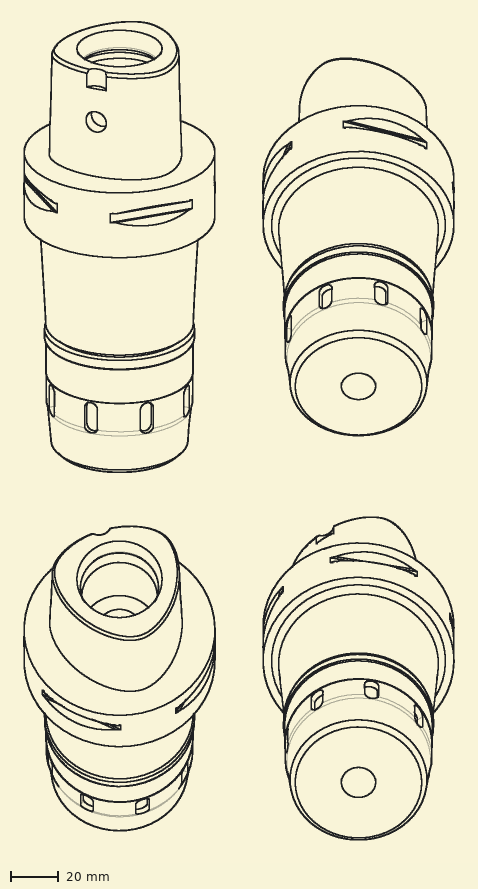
import cadquery as cq
import math

TOTAL_LENGTH = 184.0
SHANK_LENGTH = 48.0
FLANGE_HEIGHT = 30.0
FLANGE_TOP = TOTAL_LENGTH - SHANK_LENGTH
FLANGE_BOTTOM = FLANGE_TOP - FLANGE_HEIGHT

SHANK_BASE_RADIUS = 27.8
SHANK_LOBE = 1.8
SHANK_SLOPE = 1 / 40
SHANK_CHAMFER = 1.0
SHANK_CHAMFER_HEIGHT = 1.7
OUTLINE_POINTS = 48

FLANGE_DIAMETER = 80.0
FLANGE_RADIUS = FLANGE_DIAMETER / 2
NECK_CHAMFER_RADIUS = 36.5
NECK_RADIUS = 33.5
NECK_CHAMFER_HEIGHT = 2.5
NECK_END_RADIUS = 31.0
NECK_END_Z = 56.5
RELIEF_RADIUS = 28.2
RELIEF_HEIGHT = 2.2
COLLAR_RADIUS = 31.5
COLLAR_HEIGHT = 4.0

NUT_RADIUS = 31.0
NUT_STEP_Z = 34.0
GRIP_RADIUS = 30.7
GRIP_END_Z = 21.0
NOSE_RADIUS = 30.2
NOSE_Z = 18.8
TIP_RADIUS = 28.7
TIP_CHAMFER = 2.2

GROOVE_COUNT = 4
GROOVE_FIRST_ANGLE = 45
GROOVE_Z = 124.2
GROOVE_WIDTH = 4.0
GROOVE_FLOOR = 35.5
VEE_START = 36.5
VEE_WIDTH = 8.6

SLOT_COUNT = 8
SLOT_Z = 26.1
SLOT_LENGTH = 14.2
SLOT_WIDTH = 5.9
SLOT_FLOOR = 28.0

NOTCH_RADIUS = 5.2
NOTCH_DEPTH = 8.0
NOTCH_CENTRE_Y = -27.2
SIDE_HOLE_RADIUS = 4.6
SIDE_HOLE_Z = 161.0
SIDE_HOLE_FLOOR_Y = -19.3

MOUTH_RADIUS = 17.8
LIP_RADIUS = 16.4
LIP_DEPTH = 7.2
LIP_HEIGHT = 1.1
RECESS_RADIUS = 18.8
RECESS_END_DEPTH = 13.5
BORE_RADIUS = 15.8
BORE_FLOOR_Z = FLANGE_TOP
PASSAGE_RADIUS = 9.4
PASSAGE_END_Z = FLANGE_BOTTOM
COOLANT_RADIUS = 7.2


def revolve_profile(points):
    """Turn (radius, height) points around the Z axis."""
    return cq.Workplane("XZ").polyline(points).close().revolve(360, (0, 0), (0, 1))


def polygon_outline(height, mean_radius):
    """Three-lobed outline of constant width with one lobe toward +Y."""
    points = []
    for i in range(OUTLINE_POINTS):
        angle = 2 * math.pi * i / OUTLINE_POINTS
        reach = mean_radius + SHANK_LOBE * math.cos(3 * angle)
        slide = -3 * SHANK_LOBE * math.sin(3 * angle)
        x = reach * math.sin(angle) + slide * math.cos(angle)
        y = reach * math.cos(angle) - slide * math.sin(angle)
        points.append(cq.Vector(x, y, height))
    return cq.Wire.assembleEdges([cq.Edge.makeSpline(points, periodic=True)])


def make_shank():
    chamfer_z = TOTAL_LENGTH - SHANK_CHAMFER_HEIGHT
    base = polygon_outline(FLANGE_TOP, SHANK_BASE_RADIUS)
    top_radius = SHANK_BASE_RADIUS - SHANK_SLOPE * (chamfer_z - FLANGE_TOP)
    shoulder = polygon_outline(chamfer_z, top_radius)
    top = polygon_outline(TOTAL_LENGTH, top_radius - SHANK_CHAMFER)
    taper = cq.Workplane(cq.Solid.makeLoft([base, shoulder], True))
    chamfer = cq.Workplane(cq.Solid.makeLoft([shoulder, top], True))
    return taper.union(chamfer)


def make_body():
    collar_top = NECK_END_Z - RELIEF_HEIGHT
    collar_bottom = collar_top - COLLAR_HEIGHT
    collar_chamfer = COLLAR_RADIUS - NUT_RADIUS
    return revolve_profile([
        (0, 0),
        (TIP_RADIUS - TIP_CHAMFER, 0),
        (TIP_RADIUS, TIP_CHAMFER),
        (NOSE_RADIUS, NOSE_Z),
        (GRIP_RADIUS, GRIP_END_Z),
        (GRIP_RADIUS, NUT_STEP_Z),
        (NUT_RADIUS, NUT_STEP_Z),
        (NUT_RADIUS, collar_bottom - collar_chamfer),
        (COLLAR_RADIUS, collar_bottom),
        (COLLAR_RADIUS, collar_top),
        (RELIEF_RADIUS, collar_top),
        (RELIEF_RADIUS, NECK_END_Z),
        (NECK_END_RADIUS, NECK_END_Z),
        (NECK_RADIUS, FLANGE_BOTTOM - NECK_CHAMFER_HEIGHT),
        (NECK_CHAMFER_RADIUS, FLANGE_BOTTOM),
        (FLANGE_RADIUS, FLANGE_BOTTOM),
        (FLANGE_RADIUS, FLANGE_TOP),
        (0, FLANGE_TOP),
    ])


def make_bore():
    lip_z = TOTAL_LENGTH - LIP_DEPTH
    lip_bottom = lip_z - LIP_HEIGHT
    recess_top = lip_bottom - (RECESS_RADIUS - LIP_RADIUS)
    recess_bottom = TOTAL_LENGTH - RECESS_END_DEPTH
    bore_top = recess_bottom - (RECESS_RADIUS - BORE_RADIUS)
    return revolve_profile([
        (0, 0),
        (COOLANT_RADIUS, 0),
        (COOLANT_RADIUS, PASSAGE_END_Z),
        (PASSAGE_RADIUS, PASSAGE_END_Z),
        (PASSAGE_RADIUS, BORE_FLOOR_Z),
        (BORE_RADIUS, BORE_FLOOR_Z),
        (BORE_RADIUS, bore_top),
        (RECESS_RADIUS, recess_bottom),
        (RECESS_RADIUS, recess_top),
        (LIP_RADIUS, lip_bottom),
        (LIP_RADIUS, lip_z),
        (MOUTH_RADIUS, TOTAL_LENGTH),
        (0, TOTAL_LENGTH),
    ])


def make_gripper_groove():
    """Straight groove with a flat floor and flared sides, opening toward +X."""
    floor_half = GROOVE_WIDTH / 2
    vee_half = VEE_WIDTH / 2
    half_section = [(GROOVE_FLOOR, floor_half), (VEE_START, floor_half), (FLANGE_RADIUS, vee_half)]
    upper = [(x, GROOVE_Z + z) for x, z in half_section]
    lower = [(x, GROOVE_Z - z) for x, z in reversed(half_section)]
    return cq.Workplane("XZ").polyline(upper + lower).close().extrude(FLANGE_RADIUS, both=True)


def make_spanner_slot():
    """Upright round-ended slot opening toward +X."""
    return (
        cq.Workplane("YZ", origin=(SLOT_FLOOR, 0, SLOT_Z))
        .slot2D(SLOT_LENGTH, SLOT_WIDTH, 90)
        .extrude(GRIP_RADIUS)
    )


def cut_around(body, cutter, count, first_angle):
    for i in range(count):
        body = body.cut(cutter.rotate((0, 0, 0), (0, 0, 1), first_angle + i * 360 / count))
    return body


def make_notch():
    return (
        cq.Workplane("XY", origin=(0, NOTCH_CENTRE_Y, TOTAL_LENGTH - NOTCH_DEPTH))
        .circle(NOTCH_RADIUS)
        .extrude(NOTCH_DEPTH)
    )


def make_side_hole():
    return (
        cq.Workplane("XZ", origin=(0, SIDE_HOLE_FLOOR_Y, SIDE_HOLE_Z))
        .circle(SIDE_HOLE_RADIUS)
        .extrude(SHANK_BASE_RADIUS)
    )


result = make_body().union(make_shank()).cut(make_bore())
result = cut_around(result, make_gripper_groove(), GROOVE_COUNT, GROOVE_FIRST_ANGLE)
result = cut_around(result, make_spanner_slot(), SLOT_COUNT, 0)
result = result.cut(make_notch()).cut(make_side_hole())